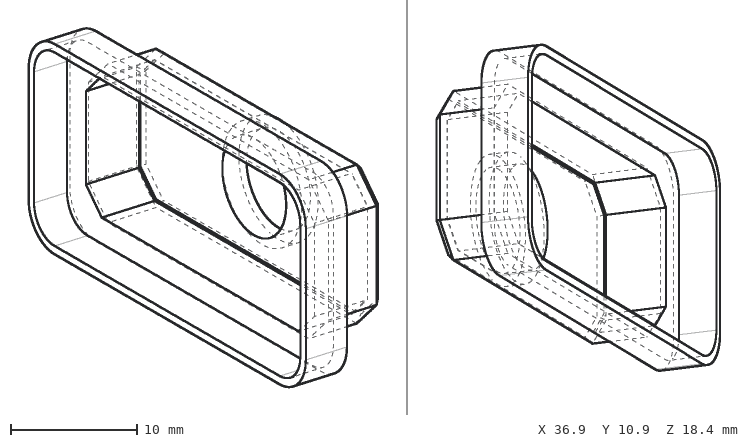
import cadquery as cq

flange_length = 36.93
flange_height = 18.43
flange_depth = 4.05
flange_radius = 3.47
rim_wall = 0.75
rim_pocket_depth = 3.25

body_length = 31.98
body_height = 13.92
body_end = 9.35
body_corner = 2.62
body_bevel = 0.55
body_wall = 0.78
cavity_corner = 2.1
cavity_floor = 8.55
floor_bevel = 0.1

collar_diameter = 10.55
collar_end = 10.95
bore_diameter = 8.5


def plane_at(y):
    """XZ workplane at the given Y whose extrusions run toward +Y."""
    return cq.Workplane(cq.Plane(origin=(0, y, 0), xDir=(-1, 0, 0), normal=(0, 1, 0)))


def rectangular_block(length, height, start, end):
    return plane_at(start).rect(length, height).extrude(end - start)


def rounded_block(length, height, radius, start, end):
    return rectangular_block(length, height, start, end).edges("|Y").fillet(radius)


def octagonal_block(length, height, corner, end_bevel, start, end):
    """Block with cut corners and a bevel around its +Y end."""
    block = rectangular_block(length, height, start, end).edges("|Y").chamfer(corner)
    return block.faces(">Y").edges().chamfer(end_bevel)


def cylinder(diameter, start, end):
    return plane_at(start).circle(diameter / 2).extrude(end - start)


flange = rounded_block(flange_length, flange_height, flange_radius, 0, flange_depth)
body = octagonal_block(body_length, body_height, body_corner, body_bevel, rim_pocket_depth, body_end)
collar = cylinder(collar_diameter, cavity_floor, collar_end)

rim_pocket = rounded_block(
    flange_length - 2 * rim_wall,
    flange_height - 2 * rim_wall,
    flange_radius - rim_wall,
    0,
    rim_pocket_depth,
)
cavity = octagonal_block(
    body_length - 2 * body_wall,
    body_height - 2 * body_wall,
    cavity_corner,
    floor_bevel,
    0,
    cavity_floor,
)
bore = cylinder(bore_diameter, 0, collar_end)

result = flange.union(body).union(collar).cut(rim_pocket).cut(cavity).cut(bore)